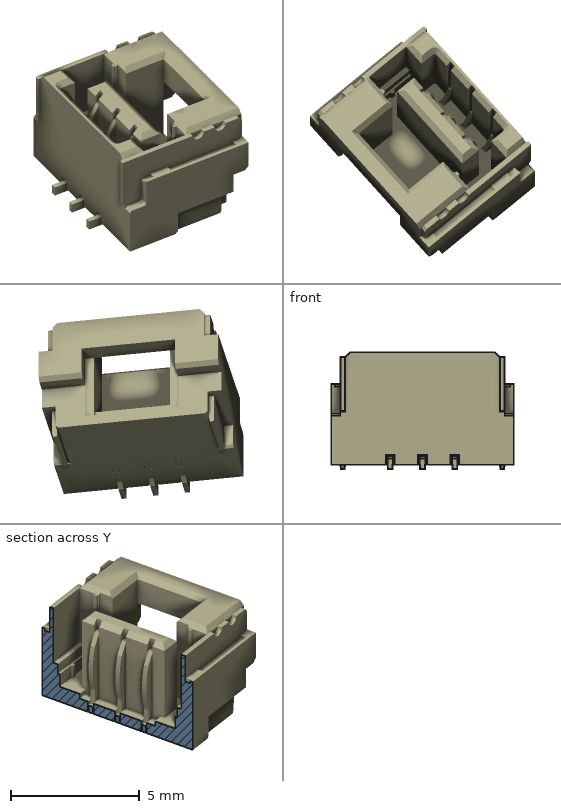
import cadquery as cq
import math


half_width = 3.55
depth = 5.445
height = 4.39
core_half = 3.0
rim_chamfer = 0.2

rim_thickness = 0.1
wall_thickness = rim_thickness + rim_chamfer
corner_depth = 0.99
corner_opening_half = 2.08
corner_radius = 0.1
rear_block_front = 2.9
rear_block_step = 0.07
rear_block_step_half = 2.095
ledge_half = 2.8
ledge_z = 1.705
floor_half = 2.71
lower_ledge_z = 1.28
floor_z = 0.71
front_floor_z = 0.5
front_floor_half = 1.77

pocket_half = 1.505
pocket_rear = 4.7
window_half = 1.845
window_top = 3.095
window_sill_front = 4.495
window_sill_z = 0.425

rib_height = 0.085
block_rib_x = 2.23
block_rib_width = 0.17
block_rib_top = 4.17
ledge_rib_y = 1.95
ledge_rib_width = 0.17

wing_top = 3.145
wing_front = 0.75
shelf_z = 1.995
shelf_fillet = 0.14
shelf_chamfer = 0.09
overhang_y = 4.76
overhang_z = 1.83
overhang_chamfer = 0.16
groove_outer = 3.415
groove_depth = 0.11
groove_spans = ((wing_front, 1.16), (1.95, 4.94))

plate_outer = 3.2
plate_thickness = plate_outer - core_half
plate_top = 4.21
plate_bottom = 2.07
plate_rear = 5.345
plate_chamfer = 0.13
plate_nose = 0.11
taper_inset = 0.03
notch_radius = 0.255
notch_places = (3.35, 4.35)

tail_drop = 0.16
recess_front = 2.195
recess_height = 0.99
recess_chamfer = 0.1
plate_tail_rear = 4.415

tongue_half = 1.945
tongue_front = 1.49
tongue_rear = 2.36
tongue_top = 3.98
tongue_chamfer_run = 0.22
tongue_chamfer_drop = 0.2

contact_pitch = 1.26
contact_places = (-contact_pitch, 0.0, contact_pitch)
contact_width = 0.2
contact_length = 0.505
contact_thickness = 0.235
contact_base = 0.335
slot_width = 0.25
tongue_slot = (1.09, 1.71)
wall_slot = (0.11, 0.695)
mouth_width = 0.36
mouth_height = 0.4
mouth_inset = 0.06
tail_bend_y = 0.19
tail_bend_end = 0.5
rear_beam_top = 3.515
rear_beam_top_front = 1.625
lead_in_top = (1.51, 3.46)
lead_in_bottom = (1.235, 3.0)
nose_radius = 3.55
front_beam_top = 1.35
front_beam_tip = (0.16, 0.23)
front_beam_foot = (0.62, 0.425)


def block(x_span, y_span, z_span):
    """Box between two limits along each axis."""
    spans = (x_span, y_span, z_span)
    sizes = [high - low for low, high in spans]
    corner = [low for low, high in spans]
    return cq.Workplane("XY").box(*sizes, centered=False).translate(tuple(corner))


def side_profile(points, x_start, thickness):
    """Outline of (y, z) points made solid from x_start along +X."""
    return cq.Workplane("YZ", origin=(x_start, 0, 0)).polyline(points).close().extrude(thickness)


def on_both_sides(shape):
    return shape.union(shape.mirror("YZ"))


def core():
    """Central housing with its cavity, pocket, rear window and chamfered top rim."""
    body = block((-core_half, core_half), (0, depth), (0, height))
    openings = [
        block((-core_half, core_half), (corner_depth, rear_block_front), (ledge_z, height)),
        block((-pocket_half, pocket_half), (rear_block_front, pocket_rear), (floor_z, height)),
        block((-ledge_half, ledge_half), (corner_depth, rear_block_front), (lower_ledge_z, ledge_z)),
        block((-floor_half, floor_half), (corner_depth, rear_block_front), (floor_z, lower_ledge_z)),
        block((-front_floor_half, front_floor_half), (corner_depth, tongue_front), (front_floor_z, floor_z)),
    ]
    corner_opening = block(
        (-corner_opening_half, corner_opening_half), (wall_thickness, corner_depth), (front_floor_z, height)
    )
    openings.append(corner_opening.edges("|Z and <Y").fillet(corner_radius))
    for opening in openings:
        body = body.cut(opening)

    inner_rim = cq.selectors.BoxSelector(
        (-half_width, rim_thickness / 2, height - rim_chamfer / 2),
        (half_width, depth - rim_thickness / 2, height + rim_chamfer / 2),
    )
    body = body.edges(inner_rim).edges("#Z").chamfer(rim_chamfer)

    step_y = (rear_block_front, rear_block_front + rear_block_step)
    body = body.cut(block((-rear_block_step_half, rear_block_step_half), step_y, (floor_z, height)))
    below_overhang = [
        (overhang_y, 0),
        (depth, 0),
        (depth, overhang_z + overhang_chamfer),
        (depth - overhang_chamfer, overhang_z),
        (overhang_y, overhang_z),
    ]
    body = body.cut(side_profile(below_overhang, -core_half, 2 * core_half))
    body = body.cut(block((-window_half, window_half), (pocket_rear, depth), (window_sill_z, window_top)))
    sill_y = (window_sill_front, pocket_rear)
    return body.cut(block((-pocket_half, pocket_half), sill_y, (window_sill_z, floor_z)))


def guide_ribs():
    """Small ribs on the rear block's front face and on the cavity's lower side wall."""
    block_rib = block(
        (block_rib_x - block_rib_width / 2, block_rib_x + block_rib_width / 2),
        (rear_block_front - rib_height, rear_block_front),
        (floor_z, block_rib_top),
    )
    ledge_rib = block(
        (floor_half - rib_height, floor_half),
        (ledge_rib_y - ledge_rib_width / 2, ledge_rib_y + ledge_rib_width / 2),
        (floor_z, lower_ledge_z),
    )
    return block_rib.union(ledge_rib)


def wing():
    """Side wing on +X with the front shelf, the rear overhang and the top grooves."""
    outline = [
        (0, 0),
        (overhang_y, 0),
        (overhang_y, overhang_z),
        (depth - overhang_chamfer, overhang_z),
        (depth, overhang_z + overhang_chamfer),
        (depth, wing_top),
        (wing_front, wing_top),
        (wing_front, shelf_z),
        (shelf_chamfer, shelf_z),
        (0, shelf_z - shelf_chamfer),
    ]
    body = side_profile(outline, core_half, half_width - core_half)
    shelf_corner = cq.selectors.NearestToPointSelector(
        ((core_half + half_width) / 2, wing_front, shelf_z)
    )
    body = body.edges(shelf_corner).fillet(shelf_fillet)
    for span in groove_spans:
        body = body.cut(block((plate_outer, groove_outer), span, (wing_top - groove_depth, wing_top)))
    body = body.union(block((core_half, plate_outer), (0, wing_front), (0, plate_bottom)))
    return body.cut(block((core_half, half_width), (recess_front, overhang_y), (0, recess_height)))


def recess_edge_cut():
    """Chamfer of the bottom edges around the side recess on +X."""
    front_corner = side_profile(
        [(recess_front - recess_chamfer, 0), (recess_front, 0), (recess_front, recess_chamfer)],
        core_half,
        half_width - core_half,
    )
    bottom_edge = (
        cq.Workplane("XZ", origin=(0, recess_front - recess_chamfer, 0))
        .polyline([(core_half - recess_chamfer, 0), (core_half, 0), (core_half, recess_chamfer)])
        .close()
        .extrude(recess_front - recess_chamfer - overhang_y)
    )
    return front_corner.union(bottom_edge)


def tapered_end(plane, length, tip_length):
    """Prism of the plate's thickness that narrows on all sides towards its tip."""
    taper = math.degrees(math.atan(taper_inset / tip_length))
    return cq.Workplane(plane).rect(plate_thickness, length).extrude(tip_length, taper=taper)


def side_plate():
    """Metal plate on +X: notched upper part, tapered nose at the front and tapered tail below."""
    plate_x = core_half + plate_thickness / 2
    outline = [
        (0, plate_bottom),
        (wing_front, plate_bottom),
        (wing_front, wing_top),
        (plate_rear - plate_chamfer, wing_top),
        (plate_rear, wing_top + plate_chamfer),
        (plate_rear, plate_top - plate_chamfer),
        (plate_rear - plate_chamfer, plate_top),
        (0, plate_top),
    ]
    plate = side_profile(outline, core_half, plate_thickness)
    notches = (
        cq.Workplane("YZ", origin=(core_half, 0, 0))
        .pushPoints([(y, plate_top) for y in notch_places])
        .circle(notch_radius)
        .extrude(plate_thickness)
    )
    nose = tapered_end("XZ", plate_top - plate_bottom, plate_nose)
    nose = nose.translate((plate_x, 0, (plate_top + plate_bottom) / 2))
    tail_length = plate_tail_rear - recess_front
    tail_y = (plate_tail_rear + recess_front) / 2
    tail = block((core_half, plate_outer), (recess_front, plate_tail_rear), (0, recess_height))
    tail_tip = tapered_end("XY", tail_length, tail_drop).mirror("XY").translate((plate_x, tail_y, 0))
    return plate.cut(notches).union(nose).union(tail).union(tail_tip)


def tongue():
    """Bar standing on the cavity floor with a chamfered top."""
    bar = block((-tongue_half, tongue_half), (tongue_front, tongue_rear), (0, tongue_top))
    return bar.faces(">Z").chamfer(tongue_chamfer_drop, tongue_chamfer_run)


def contact_slots(x):
    """Slots for one contact in the tongue and the front wall, and the flared mouth in the front face."""
    slot_x = (x - slot_width / 2, x + slot_width / 2)
    mouth_depth = wall_slot[0]
    mouth = (
        cq.Workplane("XZ", origin=(x, 0, 0))
        .rect(mouth_width, 2 * mouth_height)
        .workplane(offset=-mouth_depth)
        .rect(mouth_width - 2 * mouth_inset, 2 * (mouth_height - mouth_inset))
        .loft(ruled=True)
    )
    rear_slot = block(slot_x, tongue_slot, (0, height))
    front_slot = block(slot_x, wall_slot, (0, height))
    return rear_slot.union(front_slot).union(mouth)


def contact(x):
    """One contact: flat tail, base under the floor, low front beam and tall rear beam with a round nose."""
    slot_front, slot_rear = wall_slot
    nose_front, tongue_slot_rear = tongue_slot
    nose_top_y, nose_top_z = lead_in_bottom
    nose_reach = nose_top_y - nose_front
    nose_half_height = math.sqrt(nose_radius**2 - (nose_radius - nose_reach) ** 2)
    nose_z = nose_top_z - nose_half_height
    profile = (
        cq.Workplane("YZ", origin=(x - contact_width / 2, 0, 0))
        .moveTo(-contact_length, -tail_drop)
        .lineTo(tail_bend_y, -tail_drop)
        .lineTo(tail_bend_end, 0)
        .lineTo(tongue_slot_rear, 0)
        .lineTo(tongue_slot_rear, rear_beam_top)
        .lineTo(rear_beam_top_front, rear_beam_top)
        .lineTo(*lead_in_top)
        .lineTo(*lead_in_bottom)
        .threePointArc((nose_front, nose_z), (nose_top_y, nose_z - nose_half_height))
        .lineTo(nose_top_y, contact_base)
        .lineTo(slot_rear, contact_base)
        .lineTo(*front_beam_foot)
        .lineTo(front_beam_tip[1], front_beam_top)
        .lineTo(front_beam_tip[0], front_beam_top)
        .lineTo(slot_front, contact_thickness)
        .lineTo(-contact_length, contact_thickness)
        .close()
    )
    return profile.extrude(contact_width)


housing = core().union(on_both_sides(wing())).union(on_both_sides(guide_ribs()))
housing = housing.cut(on_both_sides(recess_edge_cut()))
housing = housing.union(on_both_sides(side_plate())).union(tongue())
for place in contact_places:
    housing = housing.cut(contact_slots(place)).union(contact(place))

result = housing.clean()